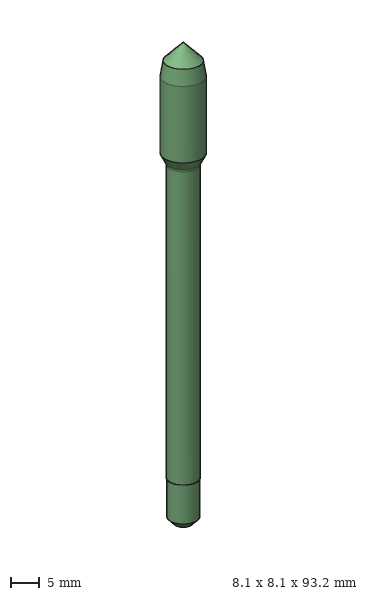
import cadquery as cq

total_length = 93.25

head_radius = 8.1 / 2
point_radius = 3.5
point_height = point_radius
nose_height = 3.1
head_bottom_z = 71.8

shaft_radius = 6.0 / 2
neck_radius = 3.2
neck_z = 70.1
shaft_top_z = 69.6

foot_radius = 5.8 / 2
foot_length = 8.9
foot_chamfer = 1.3

point_base_z = total_length - point_height
nose_base_z = point_base_z - nose_height

profile = (
    cq.Workplane("XZ")
    .moveTo(0, 0)
    .lineTo(foot_radius - foot_chamfer, 0)
    .lineTo(foot_radius, foot_chamfer)
    .lineTo(foot_radius, foot_length)
    .lineTo(shaft_radius, foot_length)
    .lineTo(shaft_radius, shaft_top_z)
    .tangentArcPoint((neck_radius, neck_z), relative=False)
    .lineTo(head_radius, head_bottom_z)
    .lineTo(head_radius, nose_base_z)
    .lineTo(point_radius, point_base_z)
    .lineTo(0, total_length)
    .close()
)

result = profile.revolve(360, (0, 0, 0), (0, 1, 0))